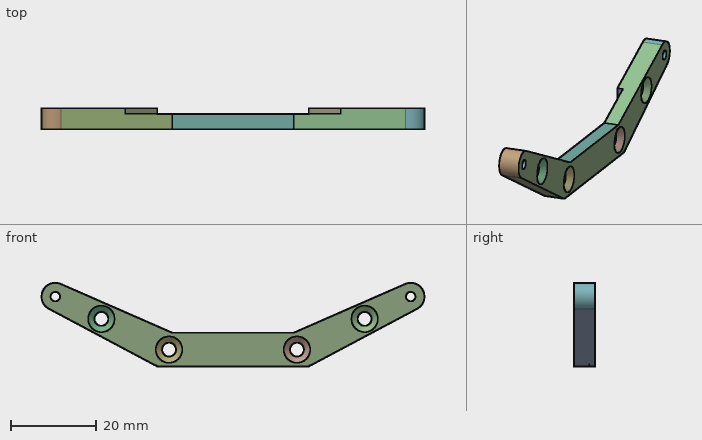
import cadquery as cq
import math

LENGTH = 89.84
HEIGHT = 19.65
THICKNESS = 5.0

END_RADIUS = 3.25
BAR_HEIGHT = 7.95
UPPER_BEND_X = 14.25
LOWER_BEND_X = 17.74

RECESS_DEPTH = 1.4
RECESS_HALF_WIDTH = 25.3
RECESS_FLARE_ANGLE = 45

END_HOLE_DIAMETER = 2.17
SCREW_HOLE_DIAMETER = 3.2
SCREW_HEAD_DIAMETER = 6.2
COUNTERSINK_ANGLE = 90
SCREW_POSITIONS = [(15.0, BAR_HEIGHT / 2), (30.87, 11.175)]

END_X = LENGTH / 2 - END_RADIUS
END_Z = HEIGHT - END_RADIUS


def tangent_angle(point, turn):
    """Direction from the +X end centre to where a line from point touches the end arc."""
    dx = point[0] - END_X
    dz = point[1] - END_Z
    return math.atan2(dz, dx) + turn * math.acos(END_RADIUS / math.hypot(dx, dz))


def end_arc_point(angle):
    """Point on the +X end arc at the given direction from its centre."""
    return END_X + END_RADIUS * math.cos(angle), END_Z + END_RADIUS * math.sin(angle)


def mirrored(point):
    """The same point on the -X half."""
    return -point[0], point[1]


def front_workplane():
    """XZ plane on the front face; its normal points out of the part, towards -Y."""
    return cq.Workplane(cq.Plane(origin=(0, 0, 0), xDir=(1, 0, 0), normal=(0, -1, 0)))


def bent_bar():
    """Level middle with two rising arms that taper to rounded ends."""
    upper_bend = (UPPER_BEND_X, BAR_HEIGHT)
    lower_bend = (LOWER_BEND_X, 0)
    upper_angle = tangent_angle(upper_bend, -1)
    lower_angle = tangent_angle(lower_bend, 1)
    upper_touch = end_arc_point(upper_angle)
    lower_touch = end_arc_point(lower_angle)
    tip = (END_X + END_RADIUS, END_Z)
    return (
        front_workplane()
        .moveTo(*lower_bend)
        .lineTo(*lower_touch)
        .threePointArc(tip, upper_touch)
        .lineTo(*upper_bend)
        .lineTo(*mirrored(upper_bend))
        .lineTo(*mirrored(upper_touch))
        .threePointArc(mirrored(tip), mirrored(lower_touch))
        .lineTo(*mirrored(lower_bend))
        .close()
        .extrude(-THICKNESS)
    )


def back_recess():
    """Starts at the lower bends, flares outward going up, then rises straight past the top of the bar."""
    flare_height = (RECESS_HALF_WIDTH - LOWER_BEND_X) * math.tan(math.radians(RECESS_FLARE_ANGLE))
    bottom = (LOWER_BEND_X, 0)
    shoulder = (RECESS_HALF_WIDTH, flare_height)
    top = (RECESS_HALF_WIDTH, HEIGHT)
    return (
        front_workplane()
        .workplane(offset=-THICKNESS)
        .polyline([bottom, shoulder, top, mirrored(top), mirrored(shoulder), mirrored(bottom)])
        .close()
        .extrude(RECESS_DEPTH)
    )


def hole_workplane(part, position):
    """Front workplane carrying a position and its mirror image."""
    return part.copyWorkplane(front_workplane()).pushPoints([position, mirrored(position)])


def drill_end_holes(part):
    return hole_workplane(part, (END_X, END_Z)).hole(END_HOLE_DIAMETER)


def drill_screw_holes(part):
    for position in SCREW_POSITIONS:
        part = hole_workplane(part, position).cskHole(
            SCREW_HOLE_DIAMETER, SCREW_HEAD_DIAMETER, COUNTERSINK_ANGLE
        )
    return part


result = bent_bar().cut(back_recess())
result = drill_end_holes(result)
result = drill_screw_holes(result)